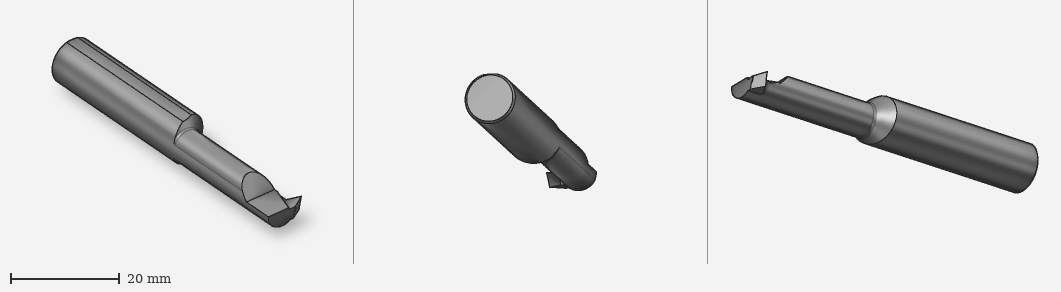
import cadquery as cq
import math

overall_length = 63.5
shank_radius = 9.525 / 2
shank_flat_height = 4.58
rear_chamfer_radial = 0.4
rear_chamfer_axial = 0.35

neck_radius = 3.375
neck_axis_y = -1.5
neck_side_y = neck_axis_y + neck_radius
shoulder_foot_x = 35.55
shoulder_fillet = 0.7
shoulder_angle = 45.0

tip_flat_z = 0.0
ramp_foot_x = 57.15
ramp_angle = 45.0

tooth_point_x = 62.0
tooth_point_y = 4.33
tooth_half_angle = 30.0
tooth_relief_angle = 12.0
tooth_height = 2.8
tooth_root_y = neck_axis_y

groove_angle = 17.5
groove_floor_y = 0.36
groove_depth = 0.5
groove_wall_run = 0.23

clearance = 10.0


def tan_deg(angle):
    return math.tan(math.radians(angle))


def make_shank():
    """Round bar along X with a chamfered rear end and a flat on top."""
    bar = (
        cq.Workplane("XY")
        .lineTo(0, shank_radius - rear_chamfer_radial)
        .lineTo(rear_chamfer_axial, shank_radius)
        .lineTo(overall_length, shank_radius)
        .lineTo(overall_length, 0)
        .close()
        .revolve(360, (0, 0, 0), (1, 0, 0))
    )
    above_flat = cq.Workplane("XY").box(
        overall_length, 2 * shank_radius, clearance, centered=(False, True, False)
    ).translate((0, 0, shank_flat_height))
    return bar.cut(above_flat)


def make_neck_envelope():
    """Body of revolution about the neck axis: wide rear, conical shoulder, filleted neck."""
    wide_radius = shank_radius + clearance
    shoulder_start_x = shoulder_foot_x - (wide_radius - neck_radius) / tan_deg(shoulder_angle)
    half_angle = math.radians(shoulder_angle / 2)
    tangent_length = shoulder_fillet * math.tan(half_angle)
    tangent_dx = tangent_length * math.cos(2 * half_angle)
    tangent_dr = tangent_length * math.sin(2 * half_angle)
    fillet_centre_x = shoulder_foot_x + tangent_length
    fillet_centre_r = neck_radius + shoulder_fillet
    fillet_middle = (
        fillet_centre_x - shoulder_fillet * math.sin(half_angle),
        fillet_centre_r - shoulder_fillet * math.cos(half_angle),
    )
    profile = (
        cq.Workplane("XY")
        .moveTo(-clearance, 0)
        .lineTo(-clearance, wide_radius)
        .lineTo(shoulder_start_x, wide_radius)
        .lineTo(shoulder_foot_x - tangent_dx, neck_radius + tangent_dr)
        .threePointArc(fillet_middle, (fillet_centre_x, neck_radius))
        .lineTo(overall_length, neck_radius)
        .lineTo(overall_length, 0)
        .close()
    )
    return profile.revolve(360, (0, 0, 0), (1, 0, 0)).translate((0, neck_axis_y, 0))


def make_tip_cutter():
    """Material above the tip flat, bounded behind by the ramp."""
    ramp_top_x = ramp_foot_x - clearance / tan_deg(ramp_angle)
    front_x = overall_length + clearance
    return (
        cq.Workplane("XZ")
        .moveTo(ramp_foot_x, tip_flat_z)
        .lineTo(front_x, tip_flat_z)
        .lineTo(front_x, tip_flat_z + clearance)
        .lineTo(ramp_top_x, tip_flat_z + clearance)
        .close()
        .extrude(clearance, both=True)
    )


def make_tooth():
    """Pointed tooth leaning back towards -Y below its cutting edge for relief."""
    front_drop = (overall_length - tooth_point_x) / tan_deg(tooth_half_angle)
    rear_x = tooth_point_x - (tooth_point_y - neck_side_y) * tan_deg(tooth_half_angle)
    outline = [
        (rear_x, tooth_root_y),
        (rear_x, neck_side_y),
        (tooth_point_x, tooth_point_y),
        (overall_length, tooth_point_y - front_drop),
        (overall_length, tooth_root_y),
    ]
    relief_shift = tooth_height * tan_deg(tooth_relief_angle)
    lower_outline = [(x, y - relief_shift) for x, y in outline]
    return (
        cq.Workplane("XY", origin=(0, 0, tip_flat_z))
        .polyline(outline).close()
        .workplane(offset=-tooth_height)
        .polyline(lower_outline).close()
        .loft(ruled=True)
    )


def make_chip_groove():
    """Wedge whose sloping floor rises from the groove line to the tooth point."""
    slope = math.radians(groove_angle)
    point_offset_y = tooth_point_y - groove_floor_y
    point_offset_x = tooth_point_x - overall_length
    rake_run = point_offset_y * math.cos(slope) + point_offset_x * math.sin(slope)
    rake_slope = groove_depth / rake_run
    far_run = rake_run + clearance
    return (
        cq.Workplane("YZ")
        .moveTo(0, -groove_depth)
        .lineTo(far_run, rake_slope * (far_run - rake_run))
        .lineTo(far_run, clearance)
        .lineTo(-groove_wall_run, clearance)
        .lineTo(-groove_wall_run, 0)
        .close()
        .extrude(clearance, both=True)
        .rotate((0, 0, 0), (0, 0, 1), -groove_angle)
        .translate((overall_length, groove_floor_y, tip_flat_z))
    )


body = make_shank().intersect(make_neck_envelope()).cut(make_tip_cutter())
toothed_body = body.union(make_tooth())
result = toothed_body.cut(make_chip_groove())